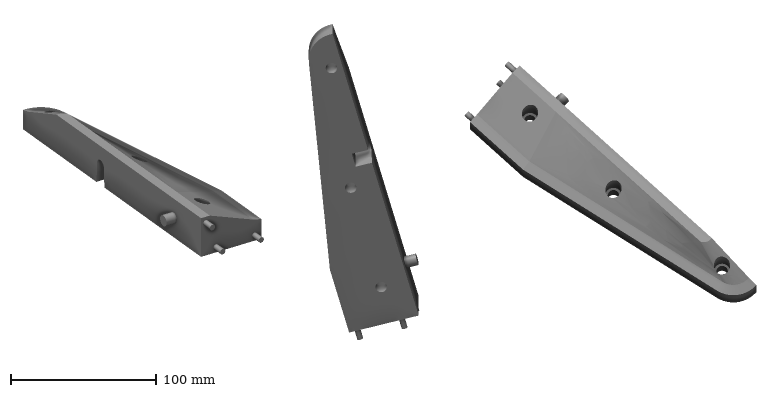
import cadquery as cq
import math

body_length = 224.5
body_width = 49.6
top_height = 30.0
edge_height = 15.1
rim_height = 16.8
rim_width = 7.0
strip_width = 7.2
lip_width = 1.5
nose_radius = 20.5
taper_angle = 10.1
nose_sweep = 90 - taper_angle
nose_ramp_end = 42.2
strip_curve_middle = (43.0, 4.7)
strip_start = 46.1
break_strip_x = 183.4

end_pin_length = 8.5
end_pin_diameter = 4.2
end_pin_places = [(4.0, 25.5), (12.3, 4.2), (44.0, 4.2)]
side_pin_length = 8.5
side_pin_diameter = 8.2
side_pin_x = 190.0
side_pin_z = 15.1

hole_places = [(25.2, 7.7), (117.5, 19.0), (196.7, 19.0)]
hole_diameter = 8.0
counterbore_diameter = 11.2
counterbore_floor = 10.0

slot_x = 97.6
slot_width = 8.9
slot_height = 19.0
slot_mouth_width = 10.3
slot_flare_height = 8.5
slot_depth = 11.6


def at_height(points, z):
    return [cq.Vector(x, y, z) for x, y in points]


def nose_point(radius, angle):
    """Point on a circle about the nose centre; angle is measured back from -X."""
    turn = math.radians(angle)
    return (nose_radius - radius * math.cos(turn), lip_width + radius * math.sin(turn))


def taper_break(inset):
    """Plan point where a line inset from the taper meets one inset from the rear side."""
    start_x, start_y = nose_point(nose_radius - inset, nose_sweep)
    y = body_width - inset
    return (start_x + (y - start_y) / math.tan(math.radians(taper_angle)), y)


def outer_path(inset):
    """Plan points of the lip, nose arc, taper and tail, inset from the outer wall."""
    radius = nose_radius - inset
    return [
        (inset, 0),
        (inset, lip_width),
        nose_point(radius, nose_sweep / 2),
        nose_point(radius, nose_sweep),
        taper_break(inset),
        (body_length, body_width - inset),
    ]


def path_edges(points, z):
    """Lip line, nose arc, taper line and tail line at one height."""
    lip, arc_start, arc_middle, arc_end, taper_end, tail = at_height(points, z)
    return [
        cq.Edge.makeLine(lip, arc_start),
        cq.Edge.makeThreePointArc(arc_start, arc_middle, arc_end),
        cq.Edge.makeLine(arc_end, taper_end),
        cq.Edge.makeLine(taper_end, tail),
    ]


def make_body():
    """Sew the body from ruled bands between paths, closed by four flat faces."""
    strip_path = [
        (nose_ramp_end, 0),
        (nose_ramp_end, lip_width),
        strip_curve_middle,
        (strip_start, strip_width),
        (break_strip_x, strip_width),
        (body_length, strip_width),
    ]
    levels = [
        (outer_path(0), 0),
        (outer_path(0), edge_height),
        (outer_path(rim_width), rim_height),
        (strip_path, top_height),
    ]
    paths = [path_edges(points, z) for points, z in levels]
    faces = []
    for lower, upper in zip(paths, paths[1:]):
        for low_edge, high_edge in zip(lower, upper):
            faces.append(cq.Face.makeRuledSurface(low_edge, high_edge))

    for path, z in [(paths[0], 0), (paths[-1], top_height)]:
        corner = cq.Vector(body_length, 0, z)
        closing = [
            cq.Edge.makeLine(path[-1].endPoint(), corner),
            cq.Edge.makeLine(corner, path[0].startPoint()),
        ]
        faces.append(cq.Face.makeFromWires(cq.Wire.assembleEdges(path + closing)))

    front_corners = [path[0].startPoint() for path in paths]
    tail_corners = [path[-1].endPoint() for path in paths]
    for corners in (front_corners, tail_corners):
        outline = corners + [cq.Vector(body_length, 0, top_height), cq.Vector(body_length, 0, 0)]
        faces.append(cq.Face.makeFromWires(cq.Wire.makePolygon(outline, close=True)))

    return cq.Workplane(cq.Solid.makeSolid(cq.Shell.makeShell(faces)))


def vertical_cylinder(x, y, diameter, bottom):
    return cq.Workplane("XY", origin=(x, y, bottom)).circle(diameter / 2).extrude(top_height)


def make_slot():
    """Round-topped slot whose mouth flares at the bottom."""
    half = slot_width / 2
    mouth_half = slot_mouth_width / 2
    arch_z = slot_height - half
    return (
        cq.Workplane("XZ", origin=(slot_x, 0, 0))
        .moveTo(-mouth_half, 0)
        .lineTo(-half, slot_flare_height)
        .lineTo(-half, arch_z)
        .threePointArc((0, slot_height), (half, arch_z))
        .lineTo(half, slot_flare_height)
        .lineTo(mouth_half, 0)
        .close()
        .extrude(-slot_depth)
    )


result = make_body()

for x, y in hole_places:
    result = result.cut(vertical_cylinder(x, y, hole_diameter, 0))
    result = result.cut(vertical_cylinder(x, y, counterbore_diameter, counterbore_floor))

result = result.cut(make_slot())

for y, z in end_pin_places:
    pin = cq.Workplane("YZ", origin=(body_length, y, z)).circle(end_pin_diameter / 2)
    result = result.union(pin.extrude(end_pin_length))

side_pin = cq.Workplane("XZ", origin=(side_pin_x, 0, side_pin_z)).circle(side_pin_diameter / 2)
result = result.union(side_pin.extrude(side_pin_length))